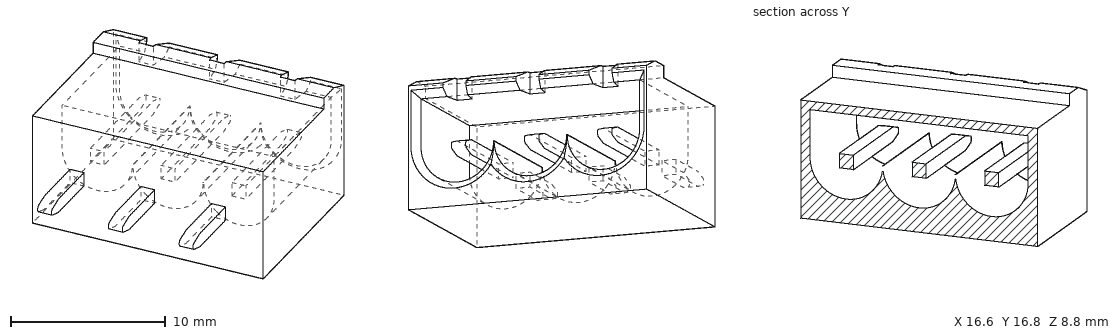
import cadquery as cq

width = 16.55
block_depth = 12.0
block_height = 8.0

ridge_height = 0.8
ridge_depth = 3.0
ridge_bevel_depth = 1.5
ridge_bevel_drop = 0.6

pin_count = 3
pin_pitch = 5.07
pin_size = 0.99
pin_center_height = 4.2
pin_tail_length = 4.8
pin_tip_recess = 0.72
tip_taper_length = 1.0
tip_height = 0.4
tip_radius = 0.2

cavity_back_wall = 3.0
roof_thickness = 0.6
trough_radius = 2.52
lead_in = 0.5

notch_depth = 1.76
notch_mouth_width = 1.6
notch_inner_width = 1.05

mating_face = block_depth
cavity_depth = block_depth - cavity_back_wall
cavity_half_width = (pin_count - 1) / 2 * pin_pitch + trough_radius
cavity_roof = block_height - roof_thickness
total_height = block_height + ridge_height
pin_positions = [(i - (pin_count - 1) / 2) * pin_pitch for i in range(pin_count)]


def make_housing():
    """Block and beveled ridge as one side profile extruded along X."""
    profile = [
        (0, 0),
        (mating_face, 0),
        (mating_face, total_height - ridge_bevel_drop),
        (mating_face - ridge_bevel_depth, total_height),
        (mating_face - ridge_depth, total_height),
        (mating_face - ridge_depth, block_height),
        (0, block_height),
    ]
    return cq.Workplane("YZ").polyline(profile).close().extrude(width / 2, both=True)


def make_trough(x):
    """Round recess on the pin axis with a 45 degree conical lead-in at its mouth."""
    half_section = [
        (0, 0),
        (trough_radius, 0),
        (trough_radius, cavity_depth - lead_in),
        (trough_radius + lead_in, cavity_depth),
        (0, cavity_depth),
    ]
    trough = cq.Workplane("XY").polyline(half_section).close().revolve(360, (0, 0, 0), (0, 1, 0))
    return trough.translate((x, cavity_back_wall, pin_center_height))


def make_upper_cavity():
    """Box-shaped space above the pin axes, flared at the sides and roof of its mouth."""
    lead_in_start = mating_face - lead_in
    height = cavity_roof - pin_center_height
    box = cq.Workplane("XY").box(
        2 * cavity_half_width, lead_in_start - cavity_back_wall, height, centered=(True, False, False)
    )
    box = box.translate((0, cavity_back_wall, pin_center_height))

    mouth_height = height + lead_in
    flare = (
        cq.Workplane("XZ", origin=(0, lead_in_start, pin_center_height))
        .center(0, height / 2)
        .rect(2 * cavity_half_width, height)
        .workplane(offset=-lead_in)
        .center(0, (mouth_height - height) / 2)
        .rect(2 * (cavity_half_width + lead_in), mouth_height)
        .loft(ruled=True)
    )
    return box.union(flare)


def make_notch(x):
    """Tapered slot from the pin axis up through the top wall."""
    inner_y = mating_face - notch_depth
    outline = [
        (x - notch_mouth_width / 2, mating_face),
        (x + notch_mouth_width / 2, mating_face),
        (x + notch_inner_width / 2, inner_y),
        (x - notch_inner_width / 2, inner_y),
    ]
    notch = cq.Workplane("XY").workplane(offset=pin_center_height).polyline(outline).close()
    return notch.extrude(total_height - pin_center_height)


def make_pin(x):
    """Square pin with tapered, rounded ends."""
    tail_y = -pin_tail_length
    front_y = mating_face - pin_tip_recess
    half_tip = tip_height / 2
    half_pin = pin_size / 2
    profile = [
        (tail_y, -half_tip),
        (tail_y + tip_taper_length, -half_pin),
        (front_y - tip_taper_length, -half_pin),
        (front_y, -half_tip),
        (front_y, half_tip),
        (front_y - tip_taper_length, half_pin),
        (tail_y + tip_taper_length, half_pin),
        (tail_y, half_tip),
    ]
    pin = cq.Workplane("YZ").polyline(profile).close().extrude(half_pin, both=True)
    pin = pin.faces("<Y or >Y").edges("|X").fillet(tip_radius)
    return pin.translate((x, 0, pin_center_height))


result = make_housing().cut(make_upper_cavity())
for pin_x in pin_positions:
    result = result.cut(make_trough(pin_x)).cut(make_notch(pin_x))
for pin_x in pin_positions:
    result = result.union(make_pin(pin_x))